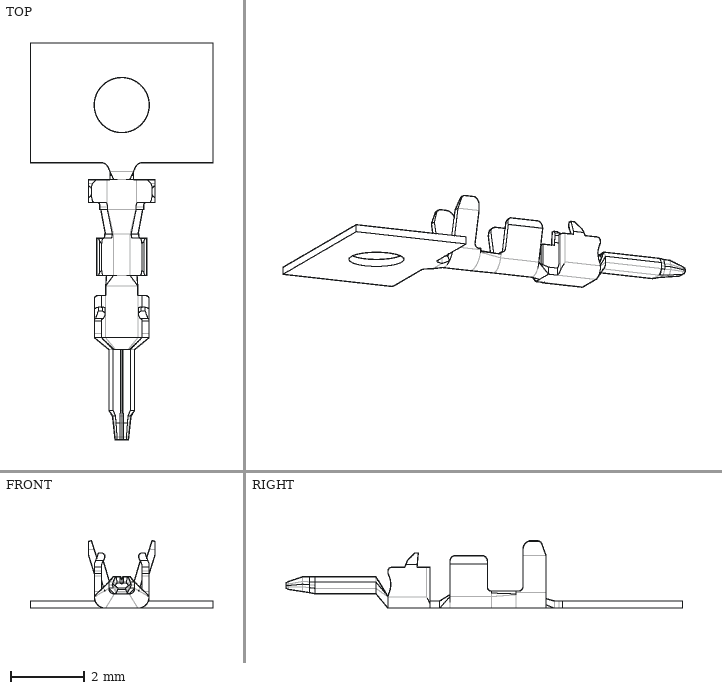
import cadquery as cq
import math

sheet = 0.2

strip_width = 5.0
strip_back = 1.7
strip_front = 1.58
pilot_diameter = 1.5

neck_root_half = 0.437
neck_half = 0.325
neck_end = 1.81
neck_fillet = 0.18

insulation_start = 2.035
insulation_end = 2.667
insulation_radius = 0.62
insulation_arc = 72.5
insulation_half = 0.91
insulation_top = 1.85
insulation_knee = 1.44
insulation_crown_start = 2.18
insulation_crown_round = 0.24
insulation_shoulder_round = 0.16

low_wall_start = 2.858
low_wall_end = 3.52
low_wall_top = 0.47
low_wall_arc = 66
low_wall_fillet = 0.12

wire_start = 3.635
wire_end = 4.665
wire_radius = 0.44
wire_arc = 73.5
wire_knee = 1.21
wire_knee_half = 0.685
wire_top = 1.445
wire_top_half = 0.6
wire_corner = 0.17
wire_root_fillet = 0.1

floor_half = 0.44
floor_start = 4.943
box_start = 5.205
box_end = 6.36
box_half = 0.75
box_bend = box_half - floor_half
box_inner_half = box_half - sheet
box_edge_round = 0.1
box_shoulder = 1.12
box_wall_root = 0.33
box_waist_station = 6.24
box_waist_height = 0.67
box_waist_round = 0.6
box_nose_height = 0.95
box_nose_round = 0.11

tab_start = 5.525
tab_root_start = 5.56
tab_crest_end = 5.63
tab_slope_end = 5.83
tab_root_end = 5.9
tab_slope_height = 1.3
tab_bend_height = 1.2
tab_outer_half = 0.64
tab_inner_half = 0.46
tab_inner_height = 1.38
tab_top = 1.51
tab_crest_chamfer = 0.06

pin_start = 6.685
pin_end = 9.15
pin_half = 0.355
pin_bottom = 0.39
pin_bottom_half = 0.2
pin_side_low = 0.54
pin_side_high = 0.71
pin_top = 0.86
pin_top_half = 0.235
ramp_groove_top_half = 0.21
ramp_groove_half = 0.17
ramp_groove_depth = 0.04
seam_half = 0.03
seam_depth = 0.1

taper_start = 8.35
shoulder_station = 8.5
shoulder_half = 0.26
shoulder_bottom = 0.42
crown_station = 8.69
crown_half = 0.235
crown_bottom = 0.45
nose_station = 9.08
nose_half = 0.195
nose_bottom = 0.51
nose_top = 0.73
end_half = 0.185
end_bottom = 0.55
end_top = 0.69
tip_ridge = 0.025
tip_seam_half = 0.05

quarter_middle = 45
arc_mid_x = math.sin(math.radians(quarter_middle))
arc_mid_z = 1 - math.cos(math.radians(quarter_middle))


def section_plane(station):
    return cq.Workplane("XZ").workplane(offset=station)


def mirrored(half_outline):
    """Complete a right-hand half outline with its left-hand mirror image."""
    return half_outline + [(-x, other) for x, other in reversed(half_outline)]


def side_prism(points):
    """Prism over the full width from (station, z) corners."""
    outline = [(-station, z) for station, z in points]
    return cq.Workplane("YZ").polyline(outline).close().extrude(strip_width / 2, both=True)


def round_corner(prism, station, z, radius):
    """Round the crosswise edge of a side prism nearest to (station, z)."""
    corner = cq.selectors.NearestToPointSelector((0, -station, z))
    return prism.edges("|X").edges(corner).fillet(radius)


def ruled_loft(*sections):
    wires = [section.val() for section in sections]
    return cq.Workplane(obj=cq.Solid.makeLoft(wires, True))


def on_arc(radius, center_z, degrees):
    angle = math.radians(degrees)
    return radius * math.sin(angle), center_z - radius * math.cos(angle)


def flat_section(station, half_width):
    outline = mirrored([(half_width, 0), (half_width, sheet)])
    from_lower_left = outline[-1:] + outline[:-1]
    return section_plane(station).polyline(from_lower_left).close()


def rolled_section(station, radius, arc):
    """Sheet rolled to an outside radius, through arc degrees to each side."""
    outer_x, outer_z = on_arc(radius, radius, arc)
    inner_x, inner_z = on_arc(radius - sheet, radius, arc)
    return (
        section_plane(station)
        .moveTo(-outer_x, outer_z)
        .threePointArc((0, 0), (outer_x, outer_z))
        .lineTo(inner_x, inner_z)
        .threePointArc((0, sheet), (-inner_x, inner_z))
        .close()
    )


def trough_section(station, radius, arc, inner_top):
    """Rolled sheet whose sides run on straight until the inner face reaches inner_top."""
    outer_x, outer_z = on_arc(radius, radius, arc)
    inner_x, inner_z = on_arc(radius - sheet, radius, arc)
    rise = inner_top - inner_z
    run = rise / math.tan(math.radians(arc))
    return (
        section_plane(station)
        .moveTo(-outer_x, outer_z)
        .threePointArc((0, 0), (outer_x, outer_z))
        .lineTo(outer_x + run, outer_z + rise)
        .lineTo(inner_x + run, inner_z + rise)
        .lineTo(inner_x, inner_z)
        .threePointArc((0, sheet), (-inner_x, inner_z))
        .lineTo(-inner_x - run, inner_z + rise)
        .lineTo(-outer_x - run, outer_z + rise)
        .close()
    )


def box_section(station, wall_top):
    """Flat floor with a bend up into a vertical wall on each side."""
    inner_bend = box_bend - sheet
    outer_x, outer_z = on_arc(box_bend, box_bend, quarter_middle)
    inner_x, inner_z = on_arc(inner_bend, box_bend, quarter_middle)
    return (
        section_plane(station)
        .moveTo(-floor_half, 0)
        .lineTo(floor_half, 0)
        .threePointArc((floor_half + outer_x, outer_z), (box_half, box_bend))
        .lineTo(box_half, wall_top)
        .lineTo(box_inner_half, wall_top)
        .lineTo(box_inner_half, box_bend)
        .threePointArc((floor_half + inner_x, inner_z), (floor_half, sheet))
        .lineTo(-floor_half, sheet)
        .threePointArc((-floor_half - inner_x, inner_z), (-box_inner_half, box_bend))
        .lineTo(-box_inner_half, wall_top)
        .lineTo(-box_half, wall_top)
        .lineTo(-box_half, box_bend)
        .threePointArc((-floor_half - outer_x, outer_z), (-floor_half, 0))
        .close()
    )


def carrier_strip():
    plate = (
        cq.Workplane("XY")
        .rect(strip_width, strip_back + strip_front)
        .extrude(sheet)
        .translate((0, (strip_back - strip_front) / 2, 0))
    )
    neck_outline = mirrored([(neck_root_half, -strip_front), (neck_half, -neck_end)])
    neck = cq.Workplane("XY").polyline(neck_outline).close().extrude(sheet)
    body = plate.union(neck)
    for side in (-1, 1):
        corner = cq.selectors.NearestToPointSelector((side * neck_root_half, -strip_front, sheet / 2))
        body = body.edges("|Z").edges(corner).fillet(neck_fillet)
    pilot = cq.Workplane("XY").circle(pilot_diameter / 2).extrude(sheet)
    return body.cut(pilot)


def neck_bend():
    arc = math.degrees(math.asin(neck_half / insulation_radius))
    return ruled_loft(
        flat_section(neck_end, neck_half),
        rolled_section(insulation_start, insulation_radius, arc),
    )


def insulation_barrel():
    length = low_wall_start - insulation_start
    body = trough_section(insulation_start, insulation_radius, insulation_arc, insulation_top).extrude(length)
    profile = side_prism([
        (insulation_start, 0),
        (insulation_start, insulation_knee),
        (insulation_crown_start, insulation_top),
        (insulation_end, insulation_top),
        (insulation_end, low_wall_top),
        (low_wall_start, low_wall_top),
        (low_wall_start, 0),
    ])
    profile = round_corner(profile, insulation_end, insulation_top, insulation_crown_round)
    profile = round_corner(profile, insulation_crown_start, insulation_top, insulation_shoulder_round)
    profile = round_corner(profile, insulation_end, low_wall_top, low_wall_fillet)
    width_limit = (
        section_plane(insulation_start)
        .rect(2 * insulation_half, 2 * insulation_top)
        .extrude(length)
    )
    return body.intersect(profile).intersect(width_limit)


def low_walls():
    return ruled_loft(
        trough_section(low_wall_start, insulation_radius, low_wall_arc, low_wall_top),
        trough_section(low_wall_end, wire_radius, wire_arc, low_wall_top),
    )


def wire_barrel():
    length = wire_end - low_wall_end
    body = trough_section(low_wall_end, wire_radius, wire_arc, wire_top).extrude(length)
    profile = side_prism([
        (low_wall_end, 0),
        (low_wall_end, low_wall_top),
        (wire_start, low_wall_top),
        (wire_start, wire_top),
        (wire_end, wire_top),
        (wire_end, 0),
    ])
    profile = round_corner(profile, wire_start, low_wall_top, wire_root_fillet)
    for station in (wire_start, wire_end):
        profile = round_corner(profile, station, wire_top, wire_corner)
    half_outline = [(wire_knee_half, 0), (wire_knee_half, wire_knee), (wire_top_half, wire_top)]
    leaning_tops = section_plane(low_wall_end).polyline(mirrored(half_outline)).close().extrude(length)
    return body.intersect(profile).intersect(leaning_tops)


def wire_barrel_exit():
    return ruled_loft(
        rolled_section(wire_end, wire_radius, wire_arc),
        flat_section(floor_start, floor_half),
    )


def flat_floor():
    return flat_section(floor_start, floor_half).extrude(box_start - floor_start)


def box():
    body = box_section(box_start, box_shoulder).extrude(box_end - box_start)
    plan = (
        cq.Workplane("XY")
        .rect(2 * box_half, box_end - box_start)
        .extrude(box_shoulder)
        .edges("|Z and >Y")
        .fillet(box_edge_round)
        .translate((0, -(box_start + box_end) / 2, 0))
    )
    profile = side_prism([
        (box_start, 0),
        (box_start, box_shoulder),
        (box_end, box_shoulder),
        (box_end, box_nose_height),
        (box_waist_station, box_waist_height),
        (box_end, box_wall_root),
        (box_end, 0),
    ])
    profile = round_corner(profile, box_end, box_shoulder, box_nose_round)
    profile = round_corner(profile, box_waist_station, box_waist_height, box_waist_round)
    return body.intersect(profile).intersect(plan)


def tab():
    """Tab of the wall on the +X side."""
    lean = (
        section_plane(box_start)
        .polyline([
            (box_inner_half, box_shoulder),
            (box_half, box_shoulder),
            (box_half, tab_bend_height),
            (tab_outer_half, tab_top),
            (tab_inner_half + tab_crest_chamfer, tab_top),
            (tab_inner_half, tab_top - tab_crest_chamfer),
            (tab_inner_half, tab_inner_height),
            (box_inner_half, tab_bend_height),
        ])
        .close()
        .extrude(box_end - box_start)
    )
    profile = side_prism([
        (tab_root_start, box_shoulder),
        (tab_start, tab_top),
        (tab_crest_end, tab_top),
        (tab_slope_end, tab_slope_height),
        (tab_root_end, box_shoulder),
    ])
    return lean.intersect(profile)


def pin_lower_arc_middle():
    """Middle of the rounding between the pin's bottom and its right side."""
    x = pin_bottom_half + arc_mid_x * (pin_half - pin_bottom_half)
    z = pin_bottom + arc_mid_z * (pin_side_low - pin_bottom)
    return x, z


def ramp():
    """Sheet rising from the box floor while it narrows to the pin section."""
    low_x, low_z = pin_lower_arc_middle()
    groove_z = pin_top - ramp_groove_depth
    groove_x = ramp_groove_half + arc_mid_x * (ramp_groove_top_half - ramp_groove_half)
    groove_mid_z = groove_z + arc_mid_z * ramp_groove_depth
    pin_entry = (
        section_plane(pin_start)
        .moveTo(-pin_bottom_half, pin_bottom)
        .lineTo(pin_bottom_half, pin_bottom)
        .threePointArc((low_x, low_z), (pin_half, pin_side_low))
        .lineTo(pin_half, pin_side_high)
        .lineTo(pin_top_half, pin_top)
        .lineTo(ramp_groove_top_half, pin_top)
        .threePointArc((groove_x, groove_mid_z), (ramp_groove_half, groove_z))
        .lineTo(-ramp_groove_half, groove_z)
        .threePointArc((-groove_x, groove_mid_z), (-ramp_groove_top_half, pin_top))
        .lineTo(-pin_top_half, pin_top)
        .lineTo(-pin_half, pin_side_high)
        .lineTo(-pin_half, pin_side_low)
        .threePointArc((-low_x, low_z), (-pin_bottom_half, pin_bottom))
        .close()
    )
    return ruled_loft(box_section(box_end, box_wall_root), pin_entry)


def pin_shaft():
    low_x, low_z = pin_lower_arc_middle()
    return (
        section_plane(pin_start)
        .moveTo(-pin_bottom_half, pin_bottom)
        .lineTo(pin_bottom_half, pin_bottom)
        .threePointArc((low_x, low_z), (pin_half, pin_side_low))
        .lineTo(pin_half, pin_side_high)
        .lineTo(pin_top_half, pin_top)
        .lineTo(seam_half, pin_top)
        .lineTo(0, pin_top - seam_depth)
        .lineTo(-seam_half, pin_top)
        .lineTo(-pin_top_half, pin_top)
        .lineTo(-pin_half, pin_side_high)
        .lineTo(-pin_half, pin_side_low)
        .threePointArc((-low_x, low_z), (-pin_bottom_half, pin_bottom))
        .close()
        .extrude(taper_start - pin_start)
    )


def tip_section(station, half_width, bottom, top, ridge, seam):
    """Pin section squeezed to a smaller size, its sides standing out to a ridge at mid height."""
    width_ratio = half_width / pin_half
    height_ratio = (top - bottom) / (pin_top - pin_bottom)
    side_low = bottom + (pin_side_low - pin_bottom) * height_ratio
    side_high = bottom + (pin_side_high - pin_bottom) * height_ratio
    right = [
        (pin_bottom_half * width_ratio, bottom),
        (half_width - ridge, side_low),
        (half_width, (side_low + side_high) / 2),
        (half_width - ridge, side_high),
        (pin_top_half * width_ratio, top),
        (seam, top),
    ]
    left = [(-x, z) for x, z in reversed(right)]
    seam_bottom = [(0, top - seam_depth * height_ratio)]
    return section_plane(station).polyline(right + seam_bottom + left).close()


def pin_tip():
    sections = [
        tip_section(taper_start, pin_half, pin_bottom, pin_top, 0, seam_half),
        tip_section(shoulder_station, shoulder_half, shoulder_bottom, pin_top, tip_ridge, tip_seam_half),
        tip_section(crown_station, crown_half, crown_bottom, pin_top, tip_ridge, tip_seam_half),
        tip_section(nose_station, nose_half, nose_bottom, nose_top, tip_ridge, tip_seam_half),
        tip_section(pin_end, end_half, end_bottom, end_top, tip_ridge, tip_seam_half),
    ]
    return ruled_loft(*sections)


right_tab = tab()
result = carrier_strip()
for piece in (
    neck_bend(),
    insulation_barrel(),
    low_walls(),
    wire_barrel(),
    wire_barrel_exit(),
    flat_floor(),
    box(),
    right_tab,
    right_tab.mirror("YZ"),
    ramp(),
    pin_shaft(),
    pin_tip(),
):
    result = result.union(piece)